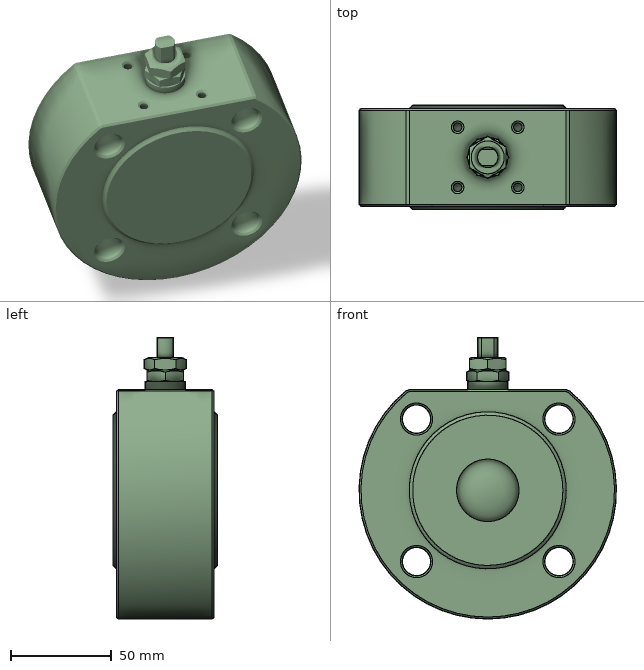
import cadquery as cq
import math

body_diameter = 127.9
body_radius = body_diameter / 2
body_thickness = 48.6
flat_height = 50.0
edge_chamfer = 1.0

overall_thickness = 52.0
pad_height = (overall_thickness - body_thickness) / 2
pad_base_diameter = 78.0
pad_chamfer = pad_height

recess_diameter = 31.0
recess_depth = 6.3
dome_height = 3.9

bolt_circle_diameter = 100.1
mount_hole_diameter = 14.0
mount_hole_chamfer = 1.0

tap_spacing = 29.9
tap_diameter = 4.2
tap_countersink_diameter = 6.1
tap_depth = 9.8
tap_tip_angle = 118

overall_height = 139.8
collar_diameter = 20.0
collar_height = 3.9
nut_across_flats = 18.2
nut_corner_diameter = nut_across_flats / math.cos(math.radians(30))
nut_top_diameter = 16.4
nut_top_chamfer_height = 1.1
nut_base_diameter = nut_across_flats
nut_base_chamfer_height = 0.7
lower_nut_height = 5.9
upper_nut_height = 6.1
stem_diameter = 10.0
stem_across_flats = 8.0
stem_bore_diameter = 10.2


def make_body():
    disc = cq.Workplane("XZ").circle(body_radius).extrude(body_thickness / 2, both=True)
    above_flat = cq.Workplane("XY").workplane(offset=flat_height).rect(
        body_diameter, overall_thickness
    ).extrude(body_radius)
    return disc.cut(above_flat).edges().chamfer(edge_chamfer)


def make_pad():
    """Pad through the whole body, so that it stands out on both faces."""
    pad = cq.Workplane("XZ").circle(pad_base_diameter / 2).extrude(overall_thickness / 2, both=True)
    return pad.faces("<Y or >Y").chamfer(pad_chamfer)


def make_button_recess():
    """Round pocket whose floor is a spherical dome."""
    front = -overall_thickness / 2
    floor = front + recess_depth
    recess_radius = recess_diameter / 2
    dome_radius = (recess_radius**2 + dome_height**2) / (2 * dome_height)
    dome_mid_x = dome_radius * math.sin(math.asin(recess_radius / dome_radius) / 2)
    dome_mid_y = floor - dome_height + dome_radius - math.sqrt(dome_radius**2 - dome_mid_x**2)
    return (
        cq.Workplane("XY")
        .moveTo(0, front)
        .lineTo(recess_radius, front)
        .lineTo(recess_radius, floor)
        .threePointArc((dome_mid_x, dome_mid_y), (0, floor - dome_height))
        .close()
        .revolve(360, (0, 0), (0, 1))
    )


def make_mount_holes():
    spacing = bolt_circle_diameter / math.sqrt(2)
    rim_diameter = mount_hole_diameter + 2 * mount_hole_chamfer
    half_thickness = body_thickness / 2
    hole = (
        cq.Workplane("XZ")
        .moveTo(0, -half_thickness)
        .lineTo(rim_diameter / 2, -half_thickness)
        .lineTo(mount_hole_diameter / 2, -half_thickness + mount_hole_chamfer)
        .lineTo(mount_hole_diameter / 2, half_thickness - mount_hole_chamfer)
        .lineTo(rim_diameter / 2, half_thickness)
        .lineTo(0, half_thickness)
        .close()
        .revolve(360, (0, 0), (0, 1))
        .val()
    )
    positions = cq.Workplane("XZ").rect(spacing, spacing, forConstruction=True).vertices()
    return positions.eachpoint(hole, useLocalCoordinates=True)


def make_tapped_holes():
    tap_radius = tap_diameter / 2
    rim_radius = tap_countersink_diameter / 2
    tip_depth = tap_depth + tap_radius / math.tan(math.radians(tap_tip_angle / 2))
    hole = (
        cq.Workplane("XZ")
        .lineTo(rim_radius, 0)
        .lineTo(tap_radius, tap_radius - rim_radius)
        .lineTo(tap_radius, -tap_depth)
        .lineTo(0, -tip_depth)
        .close()
        .revolve(360, (0, 0), (0, 1))
        .val()
    )
    positions = (
        cq.Workplane("XY")
        .workplane(offset=flat_height)
        .rect(tap_spacing, tap_spacing, forConstruction=True)
        .vertices()
    )
    return positions.eachpoint(hole, useLocalCoordinates=True)


def make_nut(base, height, turn):
    """Hexagon nut with conical chamfers at both ends."""
    corner_radius = nut_corner_diameter / 2
    hexagon = cq.Workplane("XY").polygon(6, nut_corner_diameter).extrude(height)
    chamfer_envelope = (
        cq.Workplane("XZ")
        .lineTo(nut_base_diameter / 2, 0)
        .lineTo(corner_radius, nut_base_chamfer_height)
        .lineTo(corner_radius, height - nut_top_chamfer_height)
        .lineTo(nut_top_diameter / 2, height)
        .lineTo(0, height)
        .close()
        .revolve(360, (0, 0), (0, 1))
    )
    nut = hexagon.intersect(chamfer_envelope)
    return nut.rotate((0, 0, 0), (0, 0, 1), turn).translate((0, 0, base))


def make_gland():
    lower_nut_base = flat_height + collar_height
    upper_nut_base = lower_nut_base + lower_nut_height
    stem_height = overall_height - body_radius - upper_nut_base
    collar_plane = cq.Workplane("XY").workplane(offset=flat_height)
    collar = collar_plane.circle(collar_diameter / 2).extrude(collar_height)
    lower_nut = make_nut(lower_nut_base, lower_nut_height, 0)
    upper_nut = make_nut(upper_nut_base, upper_nut_height, 30)
    upper_nut = upper_nut.cut(
        cq.Workplane("XY")
        .workplane(offset=upper_nut_base)
        .circle(stem_bore_diameter / 2)
        .extrude(upper_nut_height)
    )
    stem_plane = cq.Workplane("XY").workplane(offset=upper_nut_base)
    flats = stem_plane.rect(stem_diameter, stem_across_flats).extrude(stem_height)
    stem = stem_plane.circle(stem_diameter / 2).extrude(stem_height).intersect(flats)
    return collar.union(lower_nut).union(upper_nut).union(stem)


result = (
    make_body()
    .union(make_pad())
    .cut(make_button_recess())
    .cut(make_mount_holes())
    .cut(make_tapped_holes())
    .union(make_gland())
)